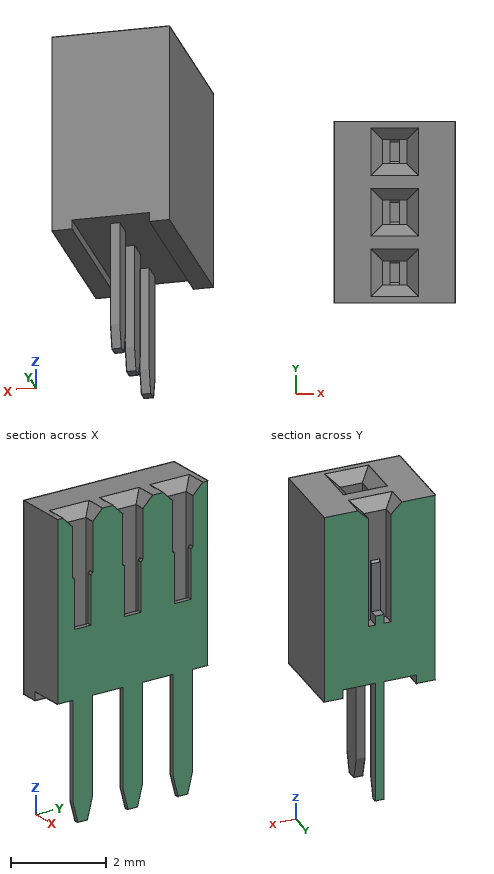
import cadquery as cq


pin_count = 3
total_height = 7.0
housing_width = 2.54
housing_length = 3.81
housing_height = 4.4
pitch = housing_length / pin_count
foot_width = 0.435
foot_height = 0.2
housing_bottom = total_height - housing_height

socket_mouth = 1.0
socket_throat = 0.505
funnel_depth = (socket_mouth - socket_throat) / 2
socket_depth = 2.8
socket_floor = total_height - socket_depth

blade_thickness = 0.2
blade_width = socket_throat
tip_width = blade_width / 2
tip_height = 0.5
fork_height = 1.4
fork_gap = 0.405
fork_base_height = 0.21
fork_lead_in = (blade_width - fork_gap) / 2
fork_top = socket_floor + fork_height
fork_bottom = socket_floor + fork_base_height


def make_housing():
    """Rectangular block with a channel along Y that leaves a foot on each side."""
    block = cq.Workplane("XY").box(
        housing_width, housing_length, housing_height, centered=(True, True, False)
    )
    channel = cq.Workplane("XY").box(
        housing_width - 2 * foot_width, housing_length, foot_height, centered=(True, True, False)
    )
    return block.cut(channel).translate((0, 0, housing_bottom))


def make_socket():
    """Square hole with a 45 degree funnel at its mouth, as a cutting body."""
    funnel = (
        cq.Workplane("XY", origin=(0, 0, total_height))
        .rect(socket_mouth, socket_mouth)
        .workplane(offset=-funnel_depth)
        .rect(socket_throat, socket_throat)
        .loft(ruled=True)
    )
    shaft = (
        cq.Workplane("XY", origin=(0, 0, socket_floor))
        .rect(socket_throat, socket_throat)
        .extrude(socket_depth - funnel_depth)
    )
    return funnel.union(shaft)


def make_contact():
    """Blade profile in the YZ plane, forked at the top with a 45 degree lead-in."""
    half_tip = tip_width / 2
    half_blade = blade_width / 2
    half_gap = fork_gap / 2
    lead_in_bottom = fork_top - fork_lead_in
    return (
        cq.Workplane("YZ")
        .polyline([
            (-half_tip, 0),
            (half_tip, 0),
            (half_blade, tip_height),
            (half_blade, fork_top),
            (half_gap, lead_in_bottom),
            (half_gap, fork_bottom),
            (-half_gap, fork_bottom),
            (-half_gap, lead_in_bottom),
            (-half_blade, fork_top),
            (-half_blade, tip_height),
        ])
        .close()
        .extrude(blade_thickness / 2, both=True)
    )


result = make_housing()
for index in range(pin_count):
    pin_y = (index - (pin_count - 1) / 2) * pitch
    result = result.cut(make_socket().translate((0, pin_y, 0)))
    result = result.union(make_contact().translate((0, pin_y, 0)))